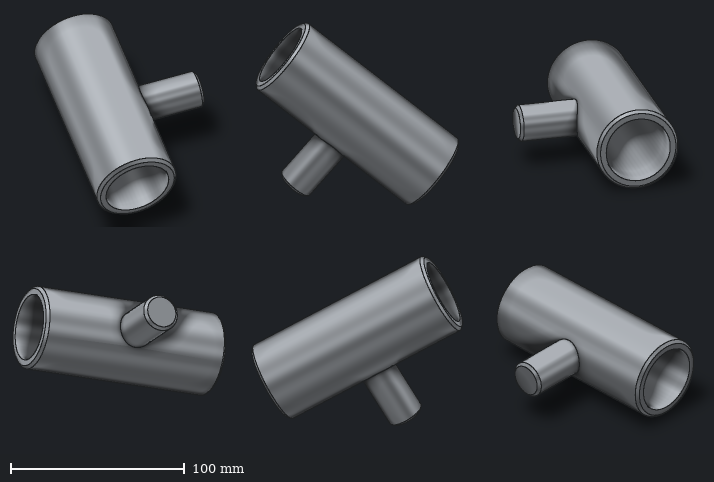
import cadquery as cq

tube_length = 114.3
tube_diameter = 48.26
bore_diameter = 38.1

branch_diameter = 21.336
branch_reach = 57.15

bevel = 1.7


def make_tube_body():
    """Solid cylinder along X with both ends bevelled."""
    body = cq.Workplane("YZ").circle(tube_diameter / 2).extrude(tube_length / 2, both=True)
    return body.faces("<X or >X").edges().chamfer(bevel)


def make_branch():
    """Solid cylinder from the tube axis out to +Y, bevelled at its free end."""
    body = cq.Workplane("XZ").circle(branch_diameter / 2).extrude(-branch_reach)
    return body.faces(">Y").edges().chamfer(bevel)


def make_bore():
    """Cutter for the bore that passes through the whole tube."""
    return cq.Workplane("YZ").circle(bore_diameter / 2).extrude(tube_length / 2, both=True)


result = make_tube_body().union(make_branch()).cut(make_bore())